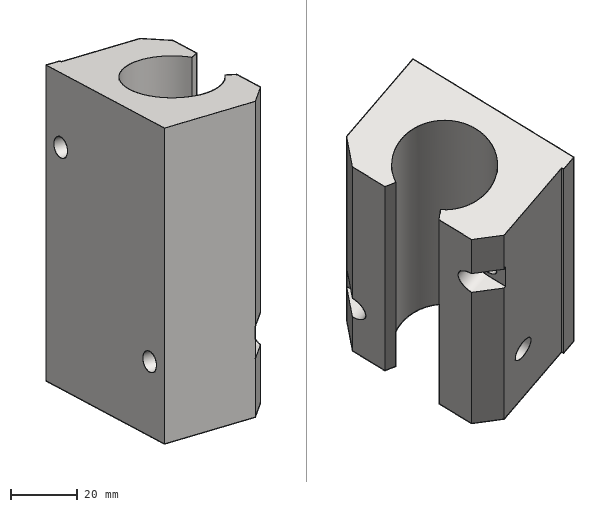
import cadquery as cq
import math

width = 60.0
depth = 42.0
height = 104.0

foot_height = 5.3
foot_step = 0.7
left_chamfer = 7.1
right_chamfer = 7.8

bore_radius = 16.0
bore_x = width / 2
bore_y = 25.2
neck_half_width = 8.3
mouth_half_width = 10.1

mount_inset = 7.5
mount_diameter = 6.9
seat_width = 10.6
seat_depth = 7.8
upper_mount_z = 79.5
lower_mount_z = height - upper_mount_z

side_hole_z = 27.1
side_hole_diameter = 4.3
side_counterbore_diameter = 8.1
side_counterbore_depth = 10.4


def make_block():
    return (
        cq.Workplane("XY")
        .moveTo(0, 0)
        .lineTo(width, 0)
        .lineTo(width, depth - right_chamfer)
        .lineTo(width - right_chamfer, depth)
        .lineTo(foot_step + left_chamfer, depth)
        .lineTo(foot_step, depth - left_chamfer)
        .lineTo(foot_step, foot_height)
        .lineTo(0, foot_height)
        .close()
        .extrude(height)
    )


def make_open_bore():
    neck_y = bore_y + math.sqrt(bore_radius**2 - neck_half_width**2)
    return (
        cq.Workplane("XY")
        .moveTo(bore_x - mouth_half_width, depth)
        .lineTo(bore_x - neck_half_width, neck_y)
        .threePointArc(
            (bore_x, bore_y - bore_radius),
            (bore_x + neck_half_width, neck_y),
        )
        .lineTo(bore_x + mouth_half_width, depth)
        .close()
        .extrude(height)
    )


def cylinder(diameter, length, start, direction):
    return cq.Workplane(
        cq.Solid.makeCylinder(diameter / 2, length, cq.Vector(*start), cq.Vector(*direction))
    )


def make_mount(x, z, side_x):
    """Through hole plus a seat that runs out through the side at side_x."""
    seat_y = depth - seat_depth
    hole = cylinder(mount_diameter, depth, (x, 0, z), (0, 1, 0))
    round_end = cylinder(seat_width, seat_depth, (x, seat_y, z), (0, 1, 0))
    run_out = cq.Workplane("XY").box(abs(side_x - x), seat_depth, seat_width).translate(
        ((x + side_x) / 2, seat_y + seat_depth / 2, z)
    )
    return hole.union(round_end).union(run_out)


def make_side_hole():
    start = (foot_step, bore_y, side_hole_z)
    hole = cylinder(side_hole_diameter, bore_x - foot_step, start, (1, 0, 0))
    counterbore = cylinder(side_counterbore_diameter, side_counterbore_depth, start, (1, 0, 0))
    return hole.union(counterbore)


result = (
    make_block()
    .cut(make_open_bore())
    .cut(make_mount(mount_inset, upper_mount_z, 0))
    .cut(make_mount(width - mount_inset, lower_mount_z, width))
    .cut(make_side_hole())
)